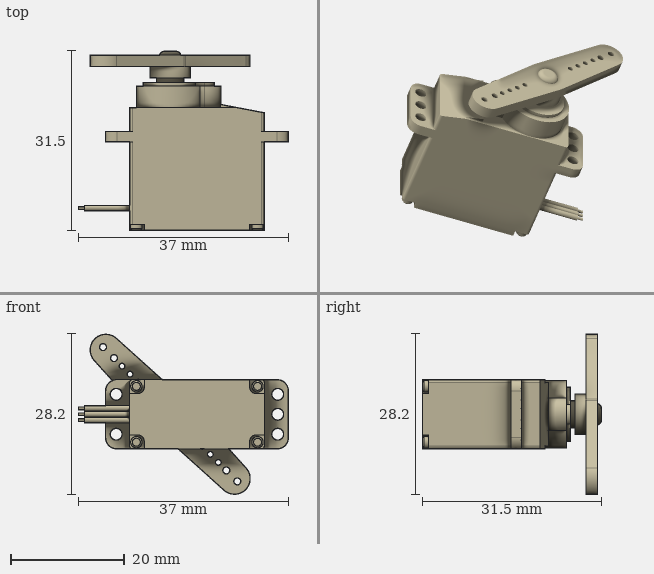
import cadquery as cq
import math


CASE_LENGTH = 23.7
CASE_HEIGHT = 21.6
CASE_DEPTH = 12.2
CASE_LEFT = -7.15
CASE_RIGHT = CASE_LEFT + CASE_LENGTH
CASE_EDGE_RADIUS = 0.5

EAR_REACH = 4.25
EAR_BOTTOM = 15.58
EAR_THICKNESS = 1.85
EAR_CORNER_RADIUS = 2.0
EAR_HOLE_DIAMETER = 2.05
EAR_HOLE_INSET = 1.9
EAR_HOLE_PITCH = 3.5

SCREW_INSET = 1.2
SCREW_DIAMETER = 2.0
SCREW_CHAMFER = 0.3
NOTCH_LENGTH = 2.6
NOTCH_WIDTH = 2.48
NOTCH_DEPTH = 1.07
NOTCH_CORNER_RADIUS = 1.2

WIRE_COUNT = 3
WIRE_PITCH = 1.05
WIRE_DIAMETER = 1.0
WIRE_LENGTH = 8.0
WIRE_HEIGHT = 3.92
CORE_DIAMETER = 0.5
CORE_LENGTH = 1.05

LOBE_OFFSET = 6.05
COVER_RADIUS = 5.95
COVER_LOBE_RADIUS = 2.9
COVER_HEIGHT = 3.8
TIER_RADIUS = 4.77
TIER_LOBE_RADIUS = 1.7
TIER_HEIGHT = 0.65

SLOPE_START = 8.88
SLOPE_RISE = 0.6
SLOPE_DROP = 0.9
SHOULDER_WIDTH = CASE_DEPTH - 2 * CASE_EDGE_RADIUS

SHAFT_DIAMETER = 4.85
SHAFT_HEIGHT = 0.78

BOSS_RADIUS = 3.6
BOSS_HEIGHT = 1.95
HORN_THICKNESS = 2.05
HORN_TIP_RADIUS = 2.78
HORN_TIP_DISTANCE = 16.02
HORN_ANGLE = 45
LARGE_HOLE_DIAMETER = 1.2
LARGE_HOLE_DISTANCES = (14.0, 16.72)
SMALL_HOLE_DIAMETER = 0.95
SMALL_HOLE_PITCH = 2.0
SMALL_HOLE_COUNT = 4
SMALL_HOLE_LAST_DISTANCE = 12.0

DOME_RADIUS = 1.9
DOME_FLAT_RADIUS = 1.0
DOME_HEIGHT = 0.7

COVER_TOP = CASE_HEIGHT + COVER_HEIGHT
TIER_TOP = COVER_TOP + TIER_HEIGHT
SHAFT_TOP = TIER_TOP + SHAFT_HEIGHT
BOSS_TOP = SHAFT_TOP + BOSS_HEIGHT
HORN_TOP = BOSS_TOP + HORN_THICKNESS


def level(y):
    """Sketch plane across Y whose local axes are X and -Z and whose normal is +Y."""
    return cq.Workplane(cq.Plane(origin=(0, y, 0), xDir=(1, 0, 0), normal=(0, 1, 0)))


def block(x_min, x_max, y_min, height, depth):
    """Box centred on Z = 0."""
    centre_x = (x_min + x_max) / 2
    return level(y_min).center(centre_x, 0).rect(x_max - x_min, depth).extrude(height)


def make_case_body():
    """Case with rounded upright edges and a sloped shoulder at its right end."""
    body = block(CASE_LEFT, CASE_RIGHT, 0, CASE_HEIGHT, CASE_DEPTH)
    body = body.edges("|Y").fillet(CASE_EDGE_RADIUS)

    slope_top = CASE_HEIGHT + SLOPE_RISE
    slope_end = CASE_HEIGHT - SLOPE_DROP
    above_slope = (
        cq.Workplane("XY")
        .polyline([(SLOPE_START, slope_top), (CASE_RIGHT, slope_top), (CASE_RIGHT, slope_end)])
        .close()
        .extrude(CASE_DEPTH / 2, both=True)
    )
    shoulder = block(SLOPE_START, CASE_RIGHT, CASE_HEIGHT, SLOPE_RISE, SHOULDER_WIDTH)
    return body.union(shoulder).cut(above_slope)


def make_ears():
    """One plate through the case whose two ends are the drilled mounting ears."""
    left = CASE_LEFT - EAR_REACH
    right = CASE_RIGHT + EAR_REACH
    plate = block(left, right, EAR_BOTTOM, EAR_THICKNESS, CASE_DEPTH)
    plate = plate.edges("|Y").fillet(EAR_CORNER_RADIUS)
    hole_centres = [
        (x, row * EAR_HOLE_PITCH)
        for x in (left + EAR_HOLE_INSET, right - EAR_HOLE_INSET)
        for row in (-1, 0, 1)
    ]
    holes = level(EAR_BOTTOM).pushPoints(hole_centres).circle(EAR_HOLE_DIAMETER / 2)
    return plate.cut(holes.extrude(EAR_THICKNESS))


def corner_places(inset_x, inset_z):
    """Points on the level plane set in from the four corners of the case."""
    middle_x = (CASE_LEFT + CASE_RIGHT) / 2
    offset_x = CASE_LENGTH / 2 - inset_x
    offset_z = CASE_DEPTH / 2 - inset_z
    return [
        (middle_x + side_x * offset_x, side_z * offset_z)
        for side_x in (-1, 1)
        for side_z in (-1, 1)
    ]


def make_notches():
    """Corner notches with a round inner corner, open to both sides of the case.

    Each cutter is centred on its case corner, so only a quarter of it cuts.
    """
    cutters = level(0).pushPoints(corner_places(0, 0)).rect(2 * NOTCH_LENGTH, 2 * NOTCH_WIDTH)
    return cutters.extrude(NOTCH_DEPTH).edges("|Y").fillet(NOTCH_CORNER_RADIUS)


def make_screw_heads():
    """Case screw heads standing on the notch floors, with bevelled end faces."""
    places = corner_places(SCREW_INSET, SCREW_INSET)
    heads = level(0).pushPoints(places).circle(SCREW_DIAMETER / 2).extrude(NOTCH_DEPTH)
    return heads.faces("<Y").chamfer(SCREW_CHAMFER)


def make_wire(z):
    """Insulated wire leaving the left side of the case, with a bare core at its end."""
    start = cq.Workplane("YZ", origin=(CASE_LEFT, WIRE_HEIGHT, z))
    insulation = start.circle(WIRE_DIAMETER / 2).extrude(-WIRE_LENGTH)
    core = start.circle(CORE_DIAMETER / 2).extrude(-(WIRE_LENGTH + CORE_LENGTH))
    return insulation.union(core)


def make_cover_tier(y, height, radius, lobe_radius):
    """Disc about the shaft, joined by a straight-sided bridge to a smaller lobe."""
    disc = level(y).circle(radius).extrude(height)
    lobe = level(y).center(LOBE_OFFSET, 0).circle(lobe_radius).extrude(height)
    bridge = block(0, LOBE_OFFSET, y, height, 2 * lobe_radius)
    return disc.union(bridge).union(lobe)


def make_housing():
    """Case, ears, screw heads, wires, gear cover and output shaft as one solid."""
    housing = make_case_body().union(make_ears())
    housing = housing.cut(make_notches()).union(make_screw_heads())
    for index in range(WIRE_COUNT):
        wire_z = (index - (WIRE_COUNT - 1) / 2) * WIRE_PITCH
        housing = housing.union(make_wire(wire_z))
    housing = housing.union(make_cover_tier(CASE_HEIGHT, COVER_HEIGHT, COVER_RADIUS, COVER_LOBE_RADIUS))
    housing = housing.union(make_cover_tier(COVER_TOP, TIER_HEIGHT, TIER_RADIUS, TIER_LOBE_RADIUS))
    shaft = level(TIER_TOP).circle(SHAFT_DIAMETER / 2).extrude(SHAFT_HEIGHT)
    return housing.union(shaft)


def make_horn_plate():
    """Horn plate along X: straight edges tangent to the hub circle and both tip circles."""
    tangent_angle = math.asin((BOSS_RADIUS - HORN_TIP_RADIUS) / HORN_TIP_DISTANCE)
    normal_x = math.sin(tangent_angle)
    normal_z = math.cos(tangent_angle)
    hub_x = BOSS_RADIUS * normal_x
    hub_z = BOSS_RADIUS * normal_z
    tip_x = HORN_TIP_DISTANCE + HORN_TIP_RADIUS * normal_x
    tip_z = HORN_TIP_RADIUS * normal_z
    tip_end = HORN_TIP_DISTANCE + HORN_TIP_RADIUS
    outline = (
        level(BOSS_TOP)
        .moveTo(hub_x, hub_z)
        .lineTo(tip_x, tip_z)
        .threePointArc((tip_end, 0), (tip_x, -tip_z))
        .lineTo(hub_x, -hub_z)
        .threePointArc((0, -BOSS_RADIUS), (-hub_x, -hub_z))
        .lineTo(-tip_x, -tip_z)
        .threePointArc((-tip_end, 0), (-tip_x, tip_z))
        .lineTo(-hub_x, hub_z)
        .threePointArc((0, BOSS_RADIUS), (hub_x, hub_z))
        .close()
    )
    return outline.extrude(HORN_THICKNESS)


def make_horn_holes(distances, diameter):
    """Through holes at the given distances along both arms."""
    centres = [(side * distance, 0) for side in (-1, 1) for distance in distances]
    return level(BOSS_TOP).pushPoints(centres).circle(diameter / 2).extrude(HORN_THICKNESS)


def make_horn():
    """Drilled horn plate and boss, turned to its place about the shaft."""
    small_hole_distances = [
        SMALL_HOLE_LAST_DISTANCE - index * SMALL_HOLE_PITCH for index in range(SMALL_HOLE_COUNT)
    ]
    boss = level(SHAFT_TOP).circle(BOSS_RADIUS).extrude(BOSS_HEIGHT)
    horn = (
        make_horn_plate()
        .cut(make_horn_holes(LARGE_HOLE_DISTANCES, LARGE_HOLE_DIAMETER))
        .cut(make_horn_holes(small_hole_distances, SMALL_HOLE_DIAMETER))
        .union(boss)
    )
    return horn.rotate((0, 0, 0), (0, 1, 0), HORN_ANGLE)


def make_horn_screw():
    """Domed screw head resting on the horn, its rounded side tangent to the flat top."""
    dome_top = HORN_TOP + DOME_HEIGHT
    profile = (
        cq.Workplane("XY")
        .moveTo(0, HORN_TOP)
        .lineTo(0, dome_top)
        .lineTo(DOME_FLAT_RADIUS, dome_top)
        .tangentArcPoint((DOME_RADIUS, HORN_TOP), relative=False)
        .close()
    )
    return profile.revolve(360, (0, 0, 0), (0, 1, 0))


housing = make_housing()
horn = make_horn()
horn_screw = make_horn_screw()

result = cq.Compound.makeCompound([housing.val(), horn.val(), horn_screw.val()])